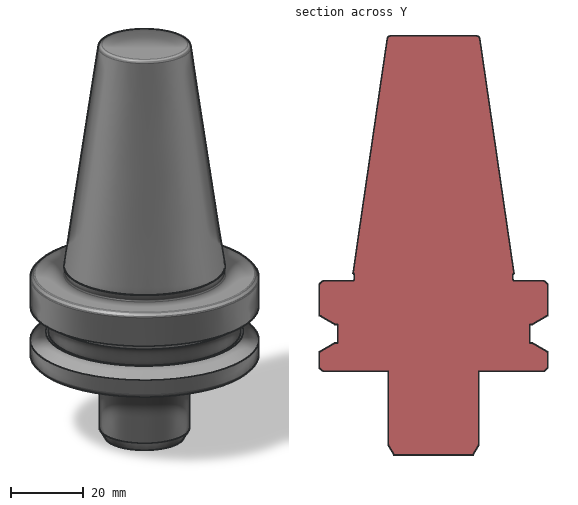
import cadquery as cq
import math

pilot_diameter = 25.0
pilot_length = 23.0
pilot_chamfer_height = 2.7
pilot_chamfer_width = 1.6

flange_diameter = 63.0
flange_thickness = 25.0
flange_chamfer = 1.0
flange_edge_radius = 0.5

groove_center_from_gauge = 16.6
groove_floor_diameter = 53.0
groove_floor_width = 5.0
groove_ledge_diameter = 54.4
groove_flank_angle = 30.0

gauge_diameter = 44.45
gauge_height_above_flange = 2.0
taper_length = 65.4
taper_ratio = 7.0 / 24.0
taper_tip_radius = 1.0

neck_relief = 0.3
neck_root_radius = 0.4

flange_bottom = pilot_length
flange_top = flange_bottom + flange_thickness
gauge_plane = flange_top + gauge_height_above_flange
taper_tip_diameter = gauge_diameter - taper_length * taper_ratio


def make_pilot():
    radius = pilot_diameter / 2
    profile = (
        cq.Workplane("XZ")
        .lineTo(radius - pilot_chamfer_width, 0)
        .lineTo(radius, pilot_chamfer_height)
        .lineTo(radius, flange_bottom)
        .lineTo(0, flange_bottom)
        .close()
    )
    return profile.revolve(360, (0, 0, 0), (0, 1, 0))


def make_flange():
    disc = (
        cq.Workplane("XY")
        .workplane(offset=flange_bottom)
        .circle(flange_diameter / 2)
        .extrude(flange_thickness)
    )
    chamfered = disc.edges("%CIRCLE").chamfer(flange_chamfer)
    return chamfered.edges("%CIRCLE").fillet(flange_edge_radius)


def make_groove_cutter():
    rim = flange_diameter / 2
    floor = groove_floor_diameter / 2
    ledge = groove_ledge_diameter / 2
    center = gauge_plane - groove_center_from_gauge
    half_floor = groove_floor_width / 2
    half_mouth = half_floor + (rim - ledge) * math.tan(math.radians(groove_flank_angle))
    profile = cq.Workplane("XZ").polyline(
        [
            (floor, center - half_floor),
            (ledge, center - half_floor),
            (rim, center - half_mouth),
            (rim, center + half_mouth),
            (ledge, center + half_floor),
            (floor, center + half_floor),
        ]
    )
    return profile.close().revolve(360, (0, 0, 0), (0, 1, 0))


def make_taper():
    gauge_radius = gauge_diameter / 2
    neck_radius = gauge_radius - neck_relief
    profile = (
        cq.Workplane("XZ", origin=(0, 0, flange_top))
        .lineTo(neck_radius + neck_root_radius, 0)
        .radiusArc((neck_radius, neck_root_radius), neck_root_radius)
        .lineTo(neck_radius, gauge_height_above_flange - neck_relief)
        .lineTo(gauge_radius, gauge_height_above_flange)
        .lineTo(taper_tip_diameter / 2, gauge_height_above_flange + taper_length)
        .lineTo(0, gauge_height_above_flange + taper_length)
        .close()
    )
    cone = profile.revolve(360, (0, 0, 0), (0, 1, 0))
    return cone.faces(">Z").edges().fillet(taper_tip_radius)


result = make_flange().cut(make_groove_cutter()).union(make_pilot()).union(make_taper())